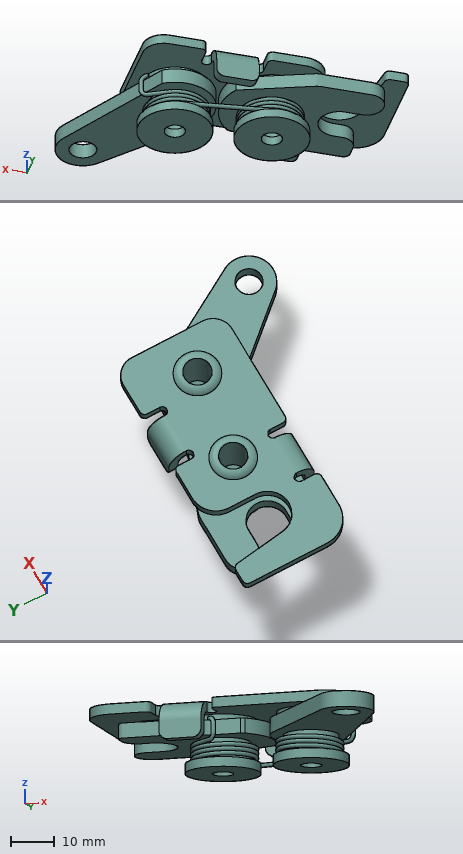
import cadquery as cq
import math


JAW_PIVOT = (0.0, 0.0)
LEVER_PIVOT = (22.15, -3.1)
PIVOTS = (JAW_PIVOT, LEVER_PIVOT)

FLANGE_THICKNESS = 2.3
JAW_BOTTOM = 7.25
LEVER_BOTTOM = 7.0
ARMS_TOP = 10.75
PLATE_BOTTOM = 12.35
PLATE_TOP = 14.8
RIVET_TOP = 15.7
PLATE_THICKNESS = PLATE_TOP - PLATE_BOTTOM
PLATE_MIDDLE = (PLATE_BOTTOM + PLATE_TOP) / 2

FLANGE_DIAMETER = 17.4
SHOULDER_DIAMETER = 12.7
NECK_DIAMETER = 8.7
HEAD_DIAMETER = 11.1
HEAD_TOP_DIAMETER = 7.3
BORE_DIAMETER = 6.65
FLANGE_HOLE_DIAMETER = 4.8
BORE_CONE_HEIGHT = 0.3
WASHER_DIAMETER = 15.9

PLATE_LEFT = -29.05
PLATE_RIGHT = 32.9
PLATE_FRONT = -15.35
PLATE_BACK = 13.1
PLATE_RIGHT_CORNER = 5.0
PLATE_LEFT_CORNER = 7.0
PLATE_THROAT_CORNER = 6.15
FINGER_CORNER = 1.25

THROAT_CENTER = (-16.0, 0.0)
THROAT_RADIUS = 5.55
THROAT_FLANK_ANGLE = math.radians(8.4)
MOUTH_RADIUS = 4.9

TAB_WIDTH = 10.1
FRONT_TAB_LEFT = -10.45
BACK_TAB_LEFT = 6.65
TAB_BOTTOM = 5.8
TAB_CORNER = 2.0
BEND_INNER_RADIUS = 2.2
BEND_OUTER_RADIUS = BEND_INNER_RADIUS + PLATE_THICKNESS
RELIEF_WIDTH = 2.3
RELIEF_DEPTH = 5.7
RELIEF_MOUTH_CORNER = 1.25

JAW_FINGER_RADIUS = (PLATE_BACK - THROAT_CENTER[1] - MOUTH_RADIUS) / 2
JAW_FINGER_X = -20.0
JAW_SHOULDER_X = -8.05
JAW_SHOULDER_RADIUS = 4.0
JAW_SLOPE = math.radians(21)
JAW_HUB_RADIUS = 12.2
JAW_HUB_ARC_START = math.radians(32)
JAW_HUB_ARC_END = math.radians(-48)
JAW_WAIST_Y = -9.4
JAW_WAIST_RIGHT = 7.25
JAW_WAIST_LEFT = 0.4
JAW_STEP_RADIUS = 2.55
JAW_FRONT = -12.3
JAW_LIP_LEFT = -21.6
JAW_LIP_CORNER = 1.6
JAW_LIP_ROUND = 3.45

LEVER_END = (37.75, -25.3)
LEVER_END_RADIUS = 6.35
LEVER_HOLE_DIAMETER = 6.35
LEVER_HUB_RADIUS = 9.4
LEVER_FLAT_OFFSET = 8.5

WIRE_DIAMETER = 1.0
TURN_GAP = 0.02
COIL_RADIUS = 7.3
COIL_SHIFT = 0.4
FULL_TURNS = 3
HOOK_DISTANCE = 9.95
JAW_HOOK_ANGLE = math.radians(-87)
LEVER_HOOK_ANGLE = math.radians(20)
HOOK_BEND_RADIUS = 1.6
HOOK_END_LENGTH = 1.75
LINK_Z = FLANGE_THICKNESS + WIRE_DIAMETER / 2
HOOK_TOP_Z = ARMS_TOP + WIRE_DIAMETER / 2
COIL_PITCH = WIRE_DIAMETER + TURN_GAP


def polar(center, radius, angle):
    """Point at a distance and direction from a center."""
    return (center[0] + radius * math.cos(angle), center[1] + radius * math.sin(angle))


def cylinder(center, diameter, bottom, top):
    return cq.Workplane("XY", origin=(*center, bottom)).circle(diameter / 2).extrude(top - bottom)


def box_between(corner, opposite, bottom, top):
    """Upright box over the rectangle between two corners in plan."""
    box = cq.Workplane("XY", origin=(0, 0, bottom)).moveTo(*corner).lineTo(opposite[0], corner[1])
    return box.lineTo(*opposite).lineTo(corner[0], opposite[1]).close().extrude(top - bottom)


def round_corner(body, corner, radius, middle_z):
    """Round the upright edge that stands at a corner in plan."""
    nearest = cq.selectors.NearestToPointSelector((*corner, middle_z))
    return body.edges("|Z").edges(nearest).fillet(radius)


def make_rivet(pivot):
    """Flanged rivet with a stepped shank, a crowned head and a bore that necks down at the flange."""
    profile = (
        cq.Workplane("XZ")
        .moveTo(BORE_DIAMETER / 2, RIVET_TOP)
        .lineTo(HEAD_TOP_DIAMETER / 2, RIVET_TOP)
        .tangentArcPoint((HEAD_DIAMETER / 2, PLATE_TOP), relative=False)
        .lineTo(NECK_DIAMETER / 2, PLATE_TOP)
        .lineTo(NECK_DIAMETER / 2, PLATE_BOTTOM)
        .lineTo(SHOULDER_DIAMETER / 2, PLATE_BOTTOM)
        .lineTo(SHOULDER_DIAMETER / 2, FLANGE_THICKNESS)
        .lineTo(FLANGE_DIAMETER / 2, FLANGE_THICKNESS)
        .lineTo(FLANGE_DIAMETER / 2, 0)
        .lineTo(FLANGE_HOLE_DIAMETER / 2, 0)
        .lineTo(FLANGE_HOLE_DIAMETER / 2, FLANGE_THICKNESS)
        .lineTo(BORE_DIAMETER / 2, FLANGE_THICKNESS + BORE_CONE_HEIGHT)
        .close()
    )
    return profile.revolve(360, (0, 0, 0), (0, 1, 0)).translate((*pivot, 0))


def make_washer(pivot):
    """Spacer washer between the plate and the arm that turns on the pivot."""
    disc = cylinder(pivot, WASHER_DIAMETER, ARMS_TOP, PLATE_BOTTOM)
    return disc.cut(cylinder(pivot, SHOULDER_DIAMETER, ARMS_TOP, PLATE_BOTTOM))


def throat_cutter():
    """Round-bottomed throat, open to the back, with one flank leaning left.

    Also returns the X of its two corners at the back edge of the plate.
    """
    flank = polar(THROAT_CENTER, THROAT_RADIUS, math.pi + THROAT_FLANK_ANGLE)
    flank_top_x = flank[0] - (PLATE_BACK - flank[1]) * math.tan(THROAT_FLANK_ANGLE)
    right_x = THROAT_CENTER[0] + THROAT_RADIUS
    outline = (
        cq.Workplane("XY", origin=(0, 0, PLATE_BOTTOM))
        .moveTo(flank_top_x, PLATE_BACK)
        .lineTo(*flank)
        .threePointArc(
            (THROAT_CENTER[0], THROAT_CENTER[1] - THROAT_RADIUS), (right_x, THROAT_CENTER[1])
        )
        .lineTo(right_x, PLATE_BACK)
        .close()
    )
    return outline.extrude(PLATE_THICKNESS), flank_top_x, right_x


def add_tab(plate, tab_left, edge_y, outward):
    """Bend a tab down from an edge, between two relief slots; outward is -1 or +1 along Y."""
    tab_right = tab_left + TAB_WIDTH
    notch_left = tab_left - RELIEF_WIDTH
    notch_right = tab_right + RELIEF_WIDTH
    bend_y = edge_y - outward * BEND_OUTER_RADIUS

    plate = plate.cut(
        box_between((notch_left, bend_y), (notch_right, edge_y), PLATE_BOTTOM, PLATE_TOP)
    )
    relief_y = edge_y - outward * (RELIEF_DEPTH - RELIEF_WIDTH / 2)
    for relief_left in (notch_left, tab_right):
        relief_right = relief_left + RELIEF_WIDTH
        plate = plate.cut(
            box_between((relief_left, relief_y), (relief_right, edge_y), PLATE_BOTTOM, PLATE_TOP)
        )
        relief_center = (relief_left + RELIEF_WIDTH / 2, relief_y)
        plate = plate.cut(cylinder(relief_center, RELIEF_WIDTH, PLATE_BOTTOM, PLATE_TOP))
    for corner_x in (notch_left, notch_right):
        plate = round_corner(plate, (corner_x, edge_y), RELIEF_MOUTH_CORNER, PLATE_MIDDLE)

    bend_z = PLATE_TOP - BEND_OUTER_RADIUS
    inner_y = bend_y + outward * BEND_INNER_RADIUS
    diagonal = math.cos(math.pi / 4)
    tab = (
        cq.Workplane("YZ", origin=(tab_left, 0, 0))
        .moveTo(bend_y, PLATE_TOP)
        .threePointArc(
            (bend_y + outward * BEND_OUTER_RADIUS * diagonal, bend_z + BEND_OUTER_RADIUS * diagonal),
            (edge_y, bend_z),
        )
        .lineTo(edge_y, TAB_BOTTOM)
        .lineTo(inner_y, TAB_BOTTOM)
        .lineTo(inner_y, bend_z)
        .threePointArc(
            (bend_y + outward * BEND_INNER_RADIUS * diagonal, bend_z + BEND_INNER_RADIUS * diagonal),
            (bend_y, PLATE_BOTTOM),
        )
        .close()
        .extrude(TAB_WIDTH)
    )
    tab = tab.faces("<Z").edges("|Y").fillet(TAB_CORNER)
    return plate.union(tab)


def make_plate():
    """Mounting plate with the striker throat, two bent tabs and the rivet holes."""
    plate = box_between((PLATE_LEFT, PLATE_FRONT), (PLATE_RIGHT, PLATE_BACK), PLATE_BOTTOM, PLATE_TOP)
    throat, finger_right, throat_right = throat_cutter()
    plate = plate.cut(throat)
    corners = (
        ((PLATE_RIGHT, PLATE_FRONT), PLATE_RIGHT_CORNER),
        ((PLATE_RIGHT, PLATE_BACK), PLATE_RIGHT_CORNER),
        ((PLATE_LEFT, PLATE_FRONT), PLATE_LEFT_CORNER),
        ((PLATE_LEFT, PLATE_BACK), FINGER_CORNER),
        ((finger_right, PLATE_BACK), FINGER_CORNER),
        ((throat_right, PLATE_BACK), PLATE_THROAT_CORNER),
    )
    for corner, radius in corners:
        plate = round_corner(plate, corner, radius, PLATE_MIDDLE)
    plate = add_tab(plate, FRONT_TAB_LEFT, PLATE_FRONT, -1)
    plate = add_tab(plate, BACK_TAB_LEFT, PLATE_BACK, 1)
    for pivot in PIVOTS:
        plate = plate.cut(cylinder(pivot, NECK_DIAMETER, PLATE_BOTTOM, PLATE_TOP))
    return plate


def make_jaw():
    """Hooked jaw: a long round finger and a short lip around the mouth, on a round hub."""
    mouth_x, mouth_y = THROAT_CENTER
    finger_y = PLATE_BACK - JAW_FINGER_RADIUS
    shoulder_center = (JAW_SHOULDER_X, PLATE_BACK - JAW_SHOULDER_RADIUS)
    shoulder_end = polar(shoulder_center, JAW_SHOULDER_RADIUS, math.pi / 2 - JAW_SLOPE)
    shoulder_middle = polar(shoulder_center, JAW_SHOULDER_RADIUS, (math.pi - JAW_SLOPE) / 2)
    mouth_front = mouth_y - MOUTH_RADIUS
    step_x = JAW_WAIST_LEFT - JAW_STEP_RADIUS
    step_center = (JAW_WAIST_LEFT, JAW_WAIST_Y - JAW_STEP_RADIUS)
    corner_center = (JAW_LIP_LEFT + JAW_LIP_CORNER, JAW_FRONT + JAW_LIP_CORNER)
    round_center = (JAW_LIP_LEFT + JAW_LIP_ROUND, mouth_front - JAW_LIP_ROUND)
    outline = (
        cq.Workplane("XY", origin=(0, 0, JAW_BOTTOM))
        .moveTo(JAW_FINGER_X, PLATE_BACK)
        .lineTo(JAW_SHOULDER_X, PLATE_BACK)
        .threePointArc(shoulder_middle, shoulder_end)
        .lineTo(*polar(JAW_PIVOT, JAW_HUB_RADIUS, JAW_HUB_ARC_START))
        .threePointArc(
            polar(JAW_PIVOT, JAW_HUB_RADIUS, 0),
            polar(JAW_PIVOT, JAW_HUB_RADIUS, JAW_HUB_ARC_END),
        )
        .lineTo(JAW_WAIST_RIGHT, JAW_WAIST_Y)
        .lineTo(JAW_WAIST_LEFT, JAW_WAIST_Y)
        .threePointArc(
            polar(step_center, JAW_STEP_RADIUS, math.radians(135)), (step_x, step_center[1])
        )
        .lineTo(step_x, JAW_FRONT)
        .lineTo(corner_center[0], JAW_FRONT)
        .threePointArc(
            polar(corner_center, JAW_LIP_CORNER, math.radians(225)), (JAW_LIP_LEFT, corner_center[1])
        )
        .lineTo(JAW_LIP_LEFT, round_center[1])
        .threePointArc(
            polar(round_center, JAW_LIP_ROUND, math.radians(135)), (round_center[0], mouth_front)
        )
        .lineTo(mouth_x, mouth_front)
        .threePointArc((mouth_x + MOUTH_RADIUS, mouth_y), (mouth_x, mouth_y + MOUTH_RADIUS))
        .lineTo(JAW_FINGER_X, mouth_y + MOUTH_RADIUS)
        .threePointArc((JAW_FINGER_X - JAW_FINGER_RADIUS, finger_y), (JAW_FINGER_X, PLATE_BACK))
        .close()
    )
    jaw = outline.extrude(ARMS_TOP - JAW_BOTTOM)
    return jaw.cut(cylinder(JAW_PIVOT, SHOULDER_DIAMETER, JAW_BOTTOM, ARMS_TOP))


def make_lever():
    """Release lever: a round hub tapering to a round end, with the hub cut flat on the right."""
    run_x = LEVER_END[0] - LEVER_PIVOT[0]
    run_y = LEVER_END[1] - LEVER_PIVOT[1]
    run = math.hypot(run_x, run_y)
    direction = math.atan2(run_y, run_x)
    left_normal = direction - math.pi / 2 + math.asin((LEVER_HUB_RADIUS - LEVER_END_RADIUS) / run)
    right_normal = direction + math.pi / 2 - math.asin((LEVER_FLAT_OFFSET - LEVER_END_RADIUS) / run)
    flat_end = right_normal + math.acos(LEVER_FLAT_OFFSET / LEVER_HUB_RADIUS)
    outline = (
        cq.Workplane("XY", origin=(0, 0, LEVER_BOTTOM))
        .moveTo(*polar(LEVER_END, LEVER_END_RADIUS, left_normal))
        .threePointArc(
            polar(LEVER_END, LEVER_END_RADIUS, direction),
            polar(LEVER_END, LEVER_END_RADIUS, right_normal),
        )
        .lineTo(*polar(LEVER_PIVOT, LEVER_HUB_RADIUS, flat_end))
        .threePointArc(
            polar(LEVER_PIVOT, LEVER_HUB_RADIUS, direction + math.pi),
            polar(LEVER_PIVOT, LEVER_HUB_RADIUS, left_normal),
        )
        .close()
    )
    lever = outline.extrude(ARMS_TOP - LEVER_BOTTOM)
    lever = lever.cut(cylinder(LEVER_END, LEVER_HOLE_DIAMETER, LEVER_BOTTOM, ARMS_TOP))
    return lever.cut(cylinder(LEVER_PIVOT, SHOULDER_DIAMETER, LEVER_BOTTOM, ARMS_TOP))


def arm_edges(center, start_angle, turn, hook_angle):
    """Center line of a coil that rises from the link, and of the leg that hooks over an arm.

    turn is +1 for a coil that winds counterclockwise as it rises, -1 for clockwise.
    """
    leg_angle = hook_angle - turn * math.acos(COIL_RADIUS / HOOK_DISTANCE)
    sweep_angle = FULL_TURNS * math.tau + (turn * (leg_angle - start_angle)) % math.tau
    leg_z = LINK_Z + COIL_PITCH * sweep_angle / math.tau
    helix = cq.Wire.makeHelix(COIL_PITCH, leg_z - LINK_Z, COIL_RADIUS, lefthand=turn < 0)
    helix = helix.rotate((0, 0, 0), (0, 0, 1), math.degrees(start_angle)).translate((*center, LINK_Z))

    leg_start = (*polar(center, COIL_RADIUS, leg_angle), leg_z)
    leg_direction = leg_angle + turn * math.pi / 2
    along = (math.cos(leg_direction), math.sin(leg_direction), 0)
    across = (math.sin(leg_direction), -math.cos(leg_direction), 0)
    leg_length = math.sqrt(HOOK_DISTANCE**2 - COIL_RADIUS**2)
    hook_height = HOOK_TOP_Z - leg_z
    bend_u = leg_length - HOOK_BEND_RADIUS
    hook = (
        cq.Workplane(cq.Plane(origin=leg_start, xDir=along, normal=across))
        .moveTo(0, 0)
        .lineTo(bend_u, 0)
        .tangentArcPoint((leg_length, HOOK_BEND_RADIUS), relative=False)
        .lineTo(leg_length, hook_height - HOOK_BEND_RADIUS)
        .tangentArcPoint((bend_u, hook_height), relative=False)
        .lineTo(leg_length - HOOK_END_LENGTH, hook_height)
    )
    return [*helix.Edges(), *hook.ctx.pendingEdges]


def make_spring():
    """Double torsion spring: two coils of opposite hand joined by a straight link at the back."""
    pivot_line = math.atan2(LEVER_PIVOT[1] - JAW_PIVOT[1], LEVER_PIVOT[0] - JAW_PIVOT[0])
    link_angle = pivot_line + math.pi / 2
    jaw_coil = polar(JAW_PIVOT, COIL_SHIFT, pivot_line)
    lever_coil = polar(LEVER_PIVOT, COIL_SHIFT, pivot_line + math.pi)
    link_start = cq.Vector(*polar(jaw_coil, COIL_RADIUS, link_angle), LINK_Z)
    link_end = cq.Vector(*polar(lever_coil, COIL_RADIUS, link_angle), LINK_Z)

    jaw_arm = arm_edges(jaw_coil, link_angle, 1, JAW_HOOK_ANGLE)
    lever_arm = arm_edges(lever_coil, link_angle, -1, LEVER_HOOK_ANGLE)
    link = cq.Edge.makeLine(link_start, link_end)
    path = cq.Wire.assembleEdges([*reversed(jaw_arm), link, *lever_arm])
    section = cq.Workplane(cq.Plane(origin=path.startPoint(), normal=path.tangentAt(0)))
    return section.circle(WIRE_DIAMETER / 2).sweep(cq.Workplane(path), transition="transformed")


plate = make_plate()
lever = make_lever()
spring = make_spring()
jaw = make_jaw().cut(spring)
rivets = [make_rivet(pivot) for pivot in PIVOTS]
washers = [make_washer(pivot) for pivot in PIVOTS]

bodies = [plate, jaw, lever, spring, *rivets, *washers]
result = cq.Compound.makeCompound([body.solids().val() for body in bodies])